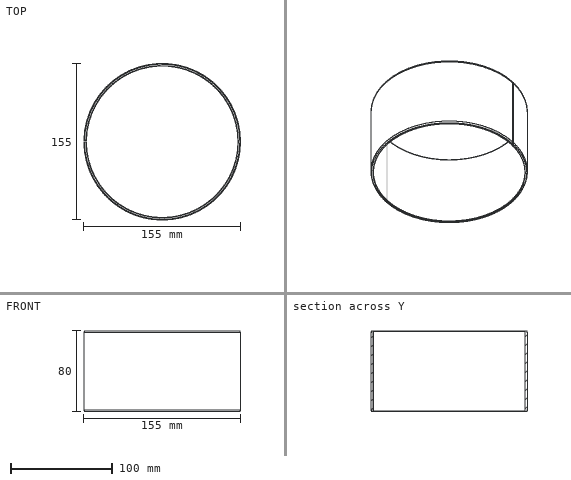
import cadquery as cq
import math

outer_diameter = 155.0
wall_thickness = 2.5
length = 80.0

outer_chamfer_length = 1.8
outer_chamfer_angle = 20.0
bore_chamfer_length = 0.6
bore_chamfer_angle = 30.0

joint_gap_angle = 1.0

outer_radius = outer_diameter / 2
bore_radius = outer_radius - wall_thickness
half_length = length / 2


def chamfer_depth(chamfer_length, angle):
    """Radial depth of a chamfer from its axial length and its angle to the axis."""
    return chamfer_length * math.tan(math.radians(angle))


def make_sleeve():
    """Revolve the chamfered wall section about Z, centred on the origin."""
    outer_rim_radius = outer_radius - chamfer_depth(outer_chamfer_length, outer_chamfer_angle)
    bore_rim_radius = bore_radius + chamfer_depth(bore_chamfer_length, bore_chamfer_angle)
    outer_edge_z = half_length - outer_chamfer_length
    bore_edge_z = half_length - bore_chamfer_length
    wall_section = (
        cq.Workplane("XZ")
        .moveTo(bore_radius, -bore_edge_z)
        .lineTo(bore_rim_radius, -half_length)
        .lineTo(outer_rim_radius, -half_length)
        .lineTo(outer_radius, -outer_edge_z)
        .lineTo(outer_radius, outer_edge_z)
        .lineTo(outer_rim_radius, half_length)
        .lineTo(bore_rim_radius, half_length)
        .lineTo(bore_radius, bore_edge_z)
        .close()
    )
    axis_start = (0, 0, 0)
    axis_end = (0, 1, 0)
    return wall_section.revolve(360, axis_start, axis_end)


def make_joint_gap():
    """Thin wedge from the axis out past the -X wall, so both joint faces are radial."""
    reach = outer_diameter
    opening = reach * math.tan(math.radians(joint_gap_angle))
    return (
        cq.Workplane("XY")
        .polyline([(0, 0), (-reach, 0), (-reach, opening)])
        .close()
        .extrude(length, both=True)
    )


result = make_sleeve().cut(make_joint_gap())